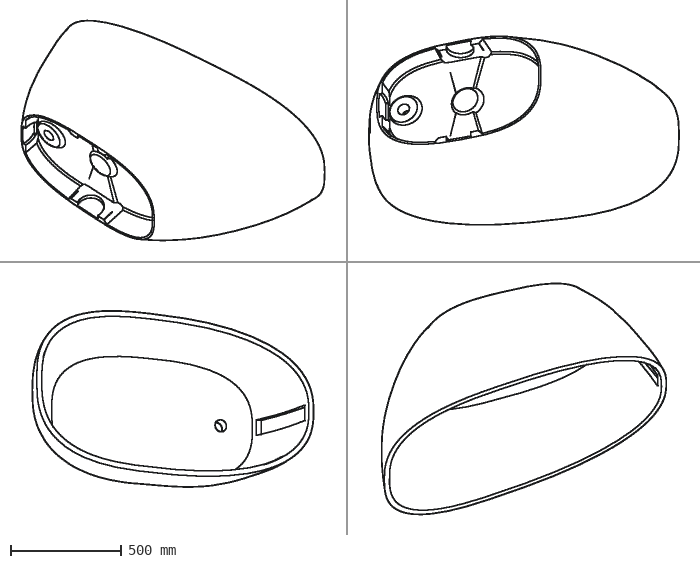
import cadquery as cq
import math


length = 1399.77
height = 709.97
width = 739.9
spline_bulge = 0.3
foot_y = -height / 2
rim_left_x = -length / 2
rim_right_x = length / 2
rim_right_rise = height
rim_left_rise = 540.0
rim_half_width = width / 2 - spline_bulge
foot_left_x = -503.0
foot_right_x = 287.0
foot_half_width = 261.0
foot_crest_x = -82.0
rim_crest_x = 127.0

STATIONS = [
    (0.0, foot_left_x, foot_right_x, foot_half_width),
    (0.125, -547.0, 390.0, 286.0),
    (0.25, -584.0, 463.0, 310.0),
    (0.5, -637.0, 577.0, 339.0),
    (0.75, -675.0, 656.0, 358.0),
    (1.0, rim_left_x, rim_right_x, rim_half_width),
]
ABOVE_RIM = (1.05, -705.0, 708.0, 371.0)
foot_left_power = 2.8
rim_left_power = 2.45
right_power = 2.7
points_per_outline = 24

wall = 25.0
basin_floor_share = 0.235
station_gap = 0.05

overflow_width = 72.0
overflow_bottom_y = -202.0
overflow_top_y = 152.0
overflow_skin = 4.0

foot_edge = 10.0
hollow_draft = 8.0
hollow_bevel = 9.0
hollow_slope = 0.07
rib_depth = 100.0
level_x = -190.0

centre_x = -109.0
disc_radius = 60.0
disc_depth = 90.0
rib_x = -117.0
rib_inner_z = 40.0
rib_inner_half = 37.0
rib_outer_z = 222.0
rib_outer_half = 81.0
bevel_angle = 45.0
block_length = 100.0

drain_x = -400.0
drain_hole_diameter = 55.0
drain_boss_radius = 66.0
drain_boss_depth = 73.0

pad_half_width = 97.0
pad_flare = 30.0
pad_face_z = 230.0
pad_draft_angle = 5.0
pad_length = 200.0
pocket_radius = 62.5
pocket_centre_depth = 20.0

end_pad_x = -476.0
end_notch_x = -484.0
end_notch_width = 80.0


def blend(start, end, share):
    return start + (end - start) * share


def outline_points(left, right, half_width, crest_x, left_power, left_y, right_y):
    """Egg-shaped ring of points, from the +Z crest round the left end, in the plane that runs
    from left_y at its left end to right_y at its right end."""
    points = []
    for i in range(points_per_outline):
        angle = 2 * math.pi * (i / points_per_outline + 0.25)
        c = math.cos(angle)
        s = math.sin(angle)
        if c >= 0:
            reach = right - crest_x
            power = right_power
        else:
            reach = crest_x - left
            power = left_power
        radius = (abs(c) ** power + abs(s) ** power) ** (-1 / power)
        x = crest_x + reach * radius * c
        y = blend(left_y, right_y, (x - left) / (right - left))
        points.append(cq.Vector(x, y, half_width * radius * s))
    return points


def shell_outline(station, inset):
    share, left, right, half_width = station
    points = outline_points(
        left + inset,
        right - inset,
        half_width - inset,
        blend(foot_crest_x, rim_crest_x, share),
        blend(foot_left_power, rim_left_power, share),
        foot_y + rim_left_rise * share,
        foot_y + rim_right_rise * share,
    )
    return cq.Wire.assembleEdges([cq.Edge.makeSpline(points, periodic=True)])


def station_at(share):
    """Station at any share of the rise, on straight lines between the listed stations."""
    for low, high in zip(STATIONS, STATIONS[1:]):
        if low[0] <= share <= high[0]:
            part = (share - low[0]) / (high[0] - low[0])
            return tuple(blend(a, b, part) for a, b in zip(low, high))


def make_shell(inset):
    return cq.Workplane(obj=cq.Solid.makeLoft([shell_outline(s, inset) for s in STATIONS]))


def make_basin():
    stations = [station_at(basin_floor_share)]
    stations += [s for s in STATIONS if s[0] > basin_floor_share + station_gap]
    stations.append(ABOVE_RIM)
    return cq.Workplane(obj=cq.Solid.makeLoft([shell_outline(s, wall) for s in stations]))


def make_overflow():
    """Recess cut from the basin into the left wall, leaving a thin skin outside."""
    channel = cq.Workplane().box(
        abs(rim_left_x) - abs(foot_left_x),
        overflow_top_y - overflow_bottom_y,
        overflow_width,
    ).translate(((rim_left_x + foot_left_x) / 2, (overflow_top_y + overflow_bottom_y) / 2, 0))
    return channel.intersect(make_shell(overflow_skin))


def hollow_floor_y(x):
    return foot_y + rib_depth + hollow_slope * (x - level_x)


def hollow_outline(inset, left_y, right_y):
    """Hollow outline in two halves that meet at the crests, behind the side pads."""
    points = outline_points(
        foot_left_x + inset,
        foot_right_x - inset,
        foot_half_width - inset,
        foot_crest_x,
        foot_left_power,
        left_y,
        right_y,
    )
    half = points_per_outline // 2
    slope = (right_y - left_y) / (foot_right_x - foot_left_x - 2 * inset)
    toward_right = cq.Vector(1, slope, 0)
    toward_left = cq.Vector(-1, -slope, 0)
    left_half = cq.Edge.makeSpline(points[:half + 1], tangents=[toward_left, toward_right])
    right_half = cq.Edge.makeSpline(points[half:] + points[:1], tangents=[toward_right, toward_left])
    return cq.Wire.assembleEdges([left_half, right_half])


def foot_plane(depth):
    """Sketch plane parallel to the foot, facing -Y; its local y is the part's Z."""
    return cq.Workplane("XZ", origin=(0, foot_y + depth, 0))


def make_raised(sketch, depth):
    """Bevelled block that stands from the hollow floor down to the given depth."""
    return sketch(foot_plane(depth)).extrude(-block_length, taper=-bevel_angle)


def disc_sketch(plane):
    return plane.center(centre_x, 0).circle(disc_radius)


def drain_sketch(plane):
    return plane.center(drain_x, 0).circle(drain_boss_radius)


def rib_sketch(side):
    def sketch(plane):
        return plane.polyline([
            (rib_x - rib_inner_half, side * rib_inner_z),
            (rib_x + rib_inner_half, side * rib_inner_z),
            (rib_x + rib_outer_half, side * rib_outer_z),
            (rib_x - rib_outer_half, side * rib_outer_z),
        ]).close()
    return sketch


def make_side_pad(side):
    """Drafted pad on a side wall, with a round pocket that opens at the foot."""
    back_z = pad_face_z + pad_flare
    pad = foot_plane(0).polyline([
        (centre_x - pad_half_width, side * pad_face_z),
        (centre_x + pad_half_width, side * pad_face_z),
        (centre_x + pad_half_width + pad_flare, side * back_z),
        (centre_x - pad_half_width - pad_flare, side * back_z),
    ]).close()
    pad = pad.extrude(-pad_length, taper=-pad_draft_angle)
    pocket = cq.Workplane("XY", origin=(centre_x, foot_y + pocket_centre_depth, 0))
    return pad.cut(pocket.circle(pocket_radius).extrude(side * width))


def make_end_pad():
    """Slab that flattens the left end wall, with a shallow notch and a round pocket at mid width."""
    slab_length = end_pad_x - foot_left_x
    slab = foot_plane(0).center(end_pad_x - slab_length / 2, 0).rect(slab_length, 2 * foot_half_width)
    end_pad = slab.extrude(-pad_length, taper=-pad_draft_angle)
    notch_length = end_pad_x - end_notch_x
    notch = foot_plane(0).center(end_pad_x - notch_length / 2, 0).rect(notch_length, end_notch_width)
    pocket = cq.Workplane("YZ", origin=(0, foot_y + pocket_centre_depth, 0))
    return (
        end_pad.cut(notch.extrude(-pad_length, taper=-pad_draft_angle))
        .cut(pocket.circle(pocket_radius).extrude(-length))
    )


def make_hollow():
    left_y = hollow_floor_y(foot_left_x)
    right_y = hollow_floor_y(foot_right_x)
    hollow = cq.Workplane(obj=cq.Solid.makeLoft([
        hollow_outline(foot_edge, foot_y, foot_y),
        hollow_outline(foot_edge + hollow_draft, left_y - hollow_bevel, right_y - hollow_bevel),
        hollow_outline(foot_edge + hollow_draft + hollow_bevel, left_y, right_y),
    ], True))
    hollow = hollow.cut(make_raised(disc_sketch, disc_depth))
    hollow = hollow.cut(make_raised(drain_sketch, drain_boss_depth))
    hollow = hollow.cut(make_end_pad())
    for side in (-1, 1):
        hollow = hollow.cut(make_raised(rib_sketch(side), rib_depth))
        hollow = hollow.cut(make_side_pad(side))
    return hollow


def make_drain_hole():
    hole = foot_plane(0).center(drain_x, 0).circle(drain_hole_diameter / 2)
    return hole.extrude(-height / 2)


result = (
    make_shell(0)
    .cut(make_basin())
    .cut(make_overflow())
    .cut(make_hollow())
    .cut(make_drain_hole())
)